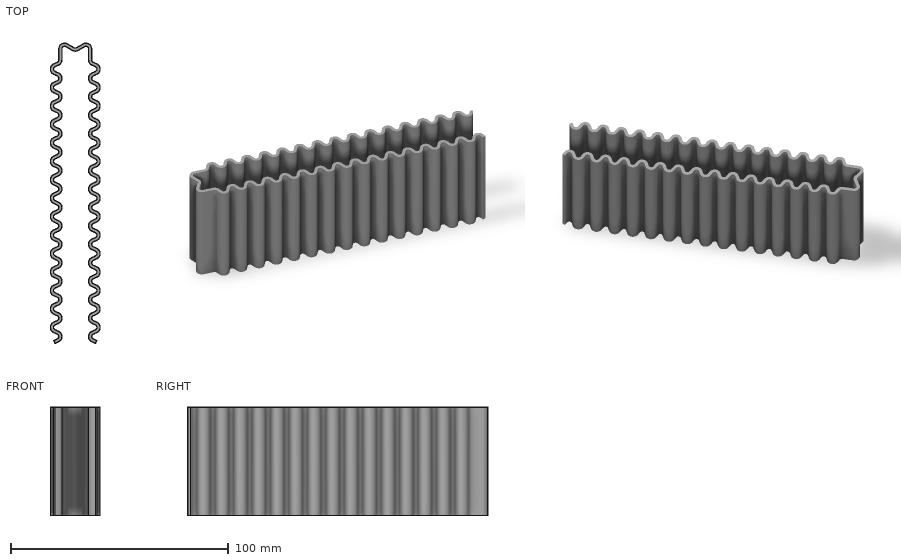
import cadquery as cq
import math

LENGTH = 138.3
WIDTH = 23.0
HEIGHT = 50.0
SHEET = 1.5

CORRUGATED_RUN = 127.4
CREST_COUNT = 15
WAVE_DEPTH = 5.4
CREST_TURN = 65.0

CROWN_TURN = 30.0

outer_crest_x = (WIDTH - SHEET) / 2
inner_crest_x = outer_crest_x - (WAVE_DEPTH - SHEET)
half_pitch = CORRUGATED_RUN / (2 * CREST_COUNT)
wave_rise = outer_crest_x - inner_crest_x

turn = math.radians(CREST_TURN)
flank = wave_rise * math.sin(turn) / (1 - math.cos(turn)) - half_pitch
bend_radius = (half_pitch - flank * math.cos(turn)) / (2 * math.sin(turn))

slope = math.radians(CROWN_TURN)
crown_shoulder_x = inner_crest_x - bend_radius
crown_flank = (crown_shoulder_x - 2 * bend_radius * math.sin(slope)) / math.cos(slope)
crown_drop = 2 * bend_radius * (1 - math.cos(slope)) + crown_flank * math.sin(slope)

shoulder_top_y = (LENGTH - SHEET) / 2
valley_y = shoulder_top_y - crown_drop
tip_y = (SHEET * math.sin(turn) - LENGTH) / 2
last_inner_crest_y = tip_y + bend_radius * math.sin(turn) + flank * math.cos(turn)
first_inner_crest_y = last_inner_crest_y + CORRUGATED_RUN
straight_leg = shoulder_top_y - bend_radius - first_inner_crest_y


def bend(angle):
    """Bend of the strip; positive angles turn left."""
    return ("bend", angle)


def straight(length):
    return ("straight", length)


def half_strip_moves():
    """Moves along the +X half of the strip, from the crown valley to the free tip."""
    crown = [bend(CROWN_TURN), straight(crown_flank), bend(-CROWN_TURN), bend(-90)]
    half_wave_out = [bend(CREST_TURN), straight(flank), bend(-CREST_TURN)]
    half_wave_in = [bend(-CREST_TURN), straight(flank), bend(CREST_TURN)]
    tip = [bend(CREST_TURN), straight(flank)]
    return crown + [straight(straight_leg)] + (half_wave_out + half_wave_in) * CREST_COUNT + tip


def step(x, y, heading, distance):
    """Point reached from (x, y) along a heading in degrees."""
    angle = math.radians(heading)
    return x + distance * math.cos(angle), y + distance * math.sin(angle)


def edge_points(x, y, heading):
    """Points on the left and right faces of the sheet."""
    return (step(x, y, heading + 90, SHEET / 2), step(x, y, heading - 90, SHEET / 2))


def trace_strip(x, y, heading, moves):
    """Follow the centreline; return (kind, start, middle, end) pieces, each holding both face points."""
    pieces = []
    for kind, amount in moves:
        start = edge_points(x, y, heading)
        if kind == "straight":
            x, y = step(x, y, heading, amount)
            middle = None
        else:
            side = math.copysign(90, amount)
            centre = step(x, y, heading + side, bend_radius)
            half_heading = heading + amount / 2
            middle = edge_points(*step(*centre, half_heading - side, bend_radius), half_heading)
            heading += amount
            x, y = step(*centre, heading - side, bend_radius)
        pieces.append((kind, start, middle, edge_points(x, y, heading)))
    return pieces


def draw_piece(sketch, kind, middle, end):
    if kind == "straight":
        return sketch.lineTo(*end)
    return sketch.threePointArc(middle, end)


def half_strip():
    """+X half: out along the left face, across the tip, back along the right face."""
    pieces = trace_strip(0, valley_y, 0, half_strip_moves())
    left, right = 0, 1
    sketch = cq.Workplane("XY").moveTo(*pieces[0][1][left])
    for kind, _, middle, end in pieces:
        sketch = draw_piece(sketch, kind, middle and middle[left], end[left])
    sketch = sketch.lineTo(*pieces[-1][3][right])
    for kind, start, middle, _ in reversed(pieces):
        sketch = draw_piece(sketch, kind, middle and middle[right], start[right])
    return sketch.close().extrude(HEIGHT)


right_half = half_strip()
result = right_half.union(right_half.mirror("YZ"))